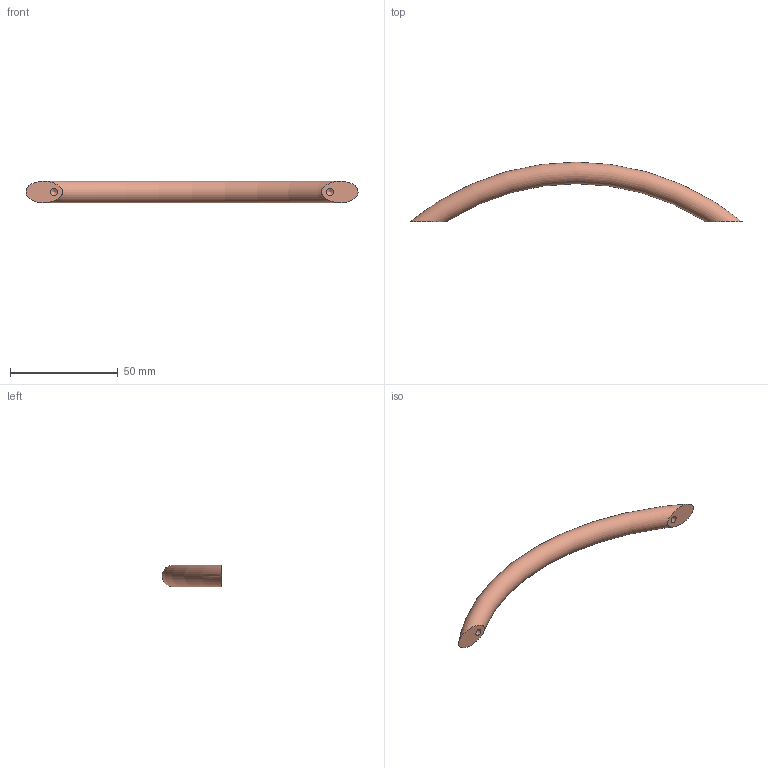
import cadquery as cq
import math

length = 153.98
height = 27.69
rod_diameter = 10.0
hole_spacing = 128.0
hole_diameter = 3.3
hole_depth = 6.0
drill_tip_angle = 118.0

rod_radius = rod_diameter / 2
outer_radius = ((length / 2) ** 2 + height ** 2) / (2 * height)
bow_radius = outer_radius - rod_radius
centre_y = height - outer_radius

hole_radius = hole_diameter / 2
drill_tip_length = hole_radius / math.tan(math.radians(drill_tip_angle / 2))

tip_angle = math.degrees(math.asin(length / 2 / outer_radius))
overrun_angle = 15.0
sweep_half_angle = tip_angle + overrun_angle


def make_bow():
    """Round rod bent about a Z axis through the bow centre, symmetric about X = 0."""
    rod = (
        cq.Workplane("YZ")
        .center(bow_radius, 0)
        .circle(rod_radius)
        .revolve(2 * sweep_half_angle, (-bow_radius, 0, 0), (-bow_radius, 1, 0))
    )
    rod = rod.rotate((0, 0, 0), (0, 0, 1), -sweep_half_angle)
    return rod.translate((0, centre_y, 0))


def trim_feet(bow):
    """Keep only the material on the +Y side of the foot plane Y = 0."""
    keep_size = 2 * length
    keep = cq.Workplane("XY").box(keep_size, keep_size, keep_size).translate((0, keep_size / 2, 0))
    return bow.intersect(keep)


def make_screw_hole(x):
    """Blind drilled hole with a conical bottom, entering a foot square to the foot plane."""
    profile = (
        cq.Workplane("XY")
        .moveTo(0, 0)
        .lineTo(hole_radius, 0)
        .lineTo(hole_radius, hole_depth)
        .lineTo(0, hole_depth + drill_tip_length)
        .close()
    )
    return profile.revolve(360, (0, 0, 0), (0, 1, 0)).translate((x, 0, 0))


result = trim_feet(make_bow())
for side in (-1, 1):
    result = result.cut(make_screw_hole(side * hole_spacing / 2))